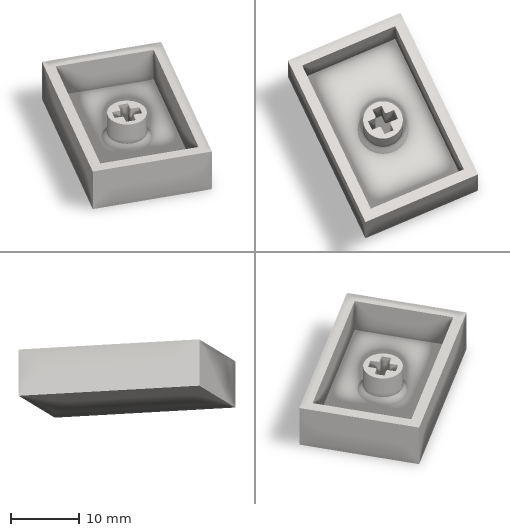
import cadquery as cq
import math

envelope_x = 27.8
envelope_y = 18.4
height = 6.9
tilt = 0.7
wall = 1.59
floor = 1.5

cos_tilt = math.cos(math.radians(tilt))
sin_tilt = math.sin(math.radians(tilt))
spread = cos_tilt**2 - sin_tilt**2
length = (envelope_x * cos_tilt - envelope_y * sin_tilt) / spread
width = (envelope_y * cos_tilt - envelope_x * sin_tilt) / spread

stem_diameter = 5.8
stem_recess = 1.08
stem_top = height - stem_recess
foot_diameter = 7.4
foot_height = (foot_diameter - stem_diameter) / 2
cross_span = 4.2
cross_arm = 1.47
cross_corner_radius = 0.25
socket_depth = stem_top - floor


def make_tray():
    outer = cq.Workplane("XY").rect(length, width).extrude(height)
    cavity = (
        cq.Workplane("XY", origin=(0, 0, floor))
        .rect(length - 2 * wall, width - 2 * wall)
        .extrude(height - floor)
    )
    return outer.cut(cavity).rotate((0, 0, 0), (0, 0, 1), -tilt)


def make_stem():
    foot_radius = foot_diameter / 2
    stem_radius = stem_diameter / 2
    return (
        cq.Workplane("XZ")
        .moveTo(0, floor)
        .lineTo(foot_radius, floor)
        .lineTo(stem_radius, floor + foot_height)
        .lineTo(stem_radius, stem_top)
        .lineTo(0, stem_top)
        .close()
        .revolve(360, (0, 0, 0), (0, 1, 0))
    )


def make_socket():
    plane = cq.Workplane("XY", origin=(0, 0, stem_top - socket_depth))
    bar_x = plane.rect(cross_span, cross_arm).extrude(socket_depth)
    bar_y = plane.rect(cross_arm, cross_span).extrude(socket_depth)
    inner_corners = cq.selectors.BoxSelector(
        (-cross_arm, -cross_arm, 0), (cross_arm, cross_arm, height)
    )
    return bar_x.union(bar_y).edges("|Z").edges(inner_corners).fillet(cross_corner_radius)


result = make_tray().union(make_stem()).cut(make_socket())